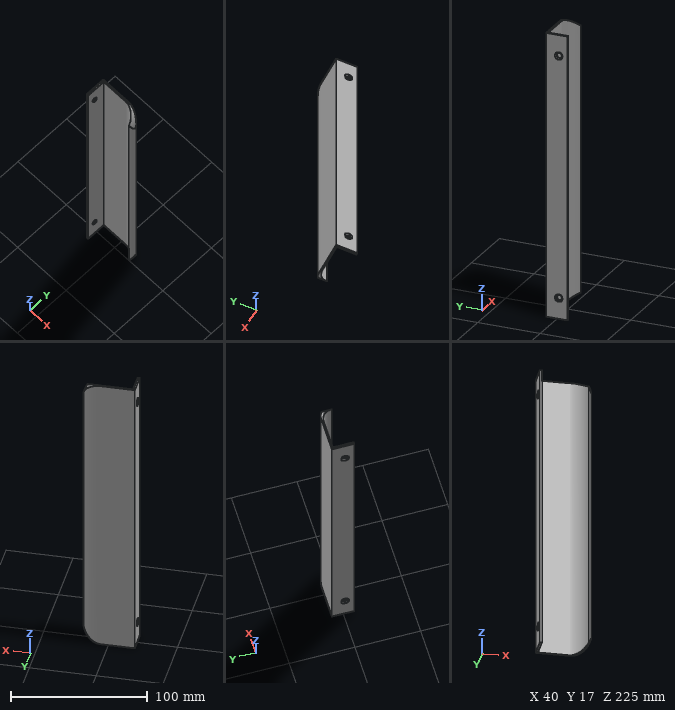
import cadquery as cq
import math

length = 225.0
width = 40.0
depth = 17.0

flange_thickness = 1.5
plate_thickness = 1.1

inner_bend_start = 25.2
outer_bend_start = 26.3
inner_bend_mid = (33.0, 12.5)
lip_outer_corner = (39.4, 12.0)
lip_nose = (width, 10.0)
lip_inner_tip = (37.5, 6.0)

end_radius = 15.3
end_round_start = 25.0
cut_clearance = 2.2

hole_diameter = 4.0
countersink_diameter = 6.0
countersink_angle = 90
hole_y = 7.0
hole_spacing = 192.0


def arc_drop(radius, run):
    """Fall of a circular arc below its starting tangent after a given run."""
    return radius - math.sqrt(radius**2 - run**2)


def make_profile_bar():
    """Extrude the L-shaped sheet with its thickened, curled lip."""
    plate_underside = depth - plate_thickness
    return (
        cq.Workplane("XY")
        .moveTo(0, 0)
        .lineTo(0, depth)
        .lineTo(outer_bend_start, depth)
        .tangentArcPoint(lip_outer_corner, relative=False)
        .threePointArc(lip_nose, lip_inner_tip)
        .threePointArc(inner_bend_mid, (inner_bend_start, plate_underside))
        .lineTo(flange_thickness, plate_underside)
        .lineTo(flange_thickness, 0)
        .close()
        .extrude(length)
    )


def make_end_round_cutter():
    """Waste outside the rounded upper end of the lip."""
    reach = width - end_round_start
    drop = arc_drop(end_radius, reach)
    half_reach = reach / 2
    half_drop = arc_drop(end_radius, half_reach)
    return (
        cq.Workplane("XZ")
        .moveTo(end_round_start, length)
        .threePointArc((end_round_start + half_reach, length - half_drop), (width, length - drop))
        .lineTo(width + cut_clearance, length - drop)
        .lineTo(width + cut_clearance, length)
        .close()
        .extrude(-depth)
    )


def cut_screw_holes(body):
    """Cut the two holes, countersunk on the outer (-X) flange face."""
    hole_places = [(-hole_y, length / 2 + side * hole_spacing / 2) for side in (-1, 1)]
    flange_face = cq.Plane(origin=(0, 0, 0), xDir=(0, -1, 0), normal=(-1, 0, 0))
    return (
        body.copyWorkplane(cq.Workplane(flange_face))
        .pushPoints(hole_places)
        .cskHole(hole_diameter, countersink_diameter, countersink_angle, depth=flange_thickness)
    )


upper_cutter = make_end_round_cutter()
lower_cutter = upper_cutter.mirror("XY", (0, 0, length / 2))
bar = make_profile_bar().cut(upper_cutter).cut(lower_cutter)
result = cut_screw_holes(bar)